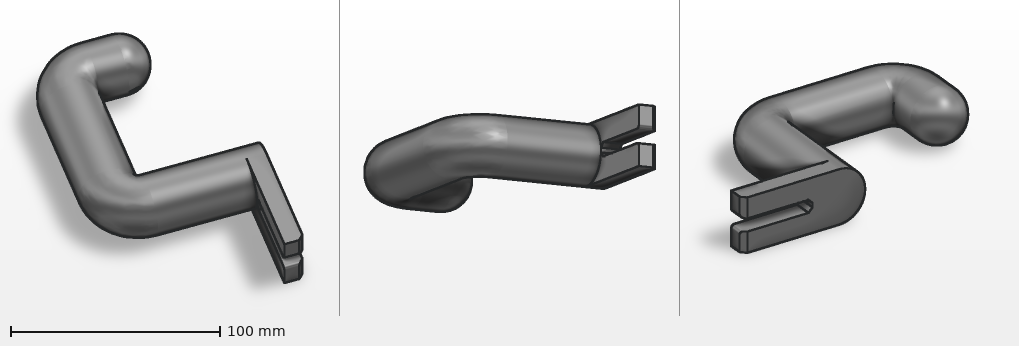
import cadquery as cq

overall_length = 155.0
overall_depth = 90.0
bar_diameter = 30.0
bar_radius = bar_diameter / 2
post_x = 100.1
plate_thickness = 10.0
slot_width = 7.0
slot_root_chamfer = 2.3
slot_mouth_fillet = 1.9
tip_chamfer = 2.6

hook_x = bar_radius
bend_y = bar_diameter
left_pivot_x = hook_x + bar_radius
right_pivot_x = post_x - bar_radius
ball_y = bend_y + bar_radius
plate_front_y = overall_depth - plate_thickness
slot_root_x = post_x + bar_radius


def bar_along_y(x, y_start, y_end):
    """Round bar parallel to Y."""
    start = cq.Vector(x, y_start, 0)
    return cq.Workplane(cq.Solid.makeCylinder(bar_radius, y_end - y_start, start, cq.Vector(0, 1, 0)))


def left_bend():
    """Quarter bend from the cross bar toward +Y."""
    return (
        cq.Workplane("XZ", origin=(hook_x, bend_y, 0))
        .circle(bar_radius)
        .revolve(90, (bar_radius, 0), (bar_radius, 1))
    )


def right_bend():
    """Mirror image of the left bend about the middle of the cross bar."""
    middle_x = (left_pivot_x + right_pivot_x) / 2
    return left_bend().mirror("YZ", (middle_x, 0, 0))


def cross_bar():
    start = cq.Vector(left_pivot_x, bend_y - bar_radius, 0)
    length = right_pivot_x - left_pivot_x
    return cq.Workplane(cq.Solid.makeCylinder(bar_radius, length, start, cq.Vector(1, 0, 0)))


def fork_plate():
    """Plate with one round end and an open slot splitting its free end into two fingers."""
    half_slot = slot_width / 2
    profile = (
        cq.Workplane("XZ", origin=(0, overall_depth, 0))
        .moveTo(post_x, bar_radius)
        .lineTo(overall_length, bar_radius)
        .lineTo(overall_length, half_slot)
        .lineTo(slot_root_x + slot_root_chamfer, half_slot)
        .lineTo(slot_root_x, half_slot - slot_root_chamfer)
        .lineTo(slot_root_x, slot_root_chamfer - half_slot)
        .lineTo(slot_root_x + slot_root_chamfer, -half_slot)
        .lineTo(overall_length, -half_slot)
        .lineTo(overall_length, -bar_radius)
        .lineTo(post_x, -bar_radius)
        .threePointArc((post_x - bar_radius, 0), (post_x, bar_radius))
        .close()
    )
    plate = profile.extrude(plate_thickness)

    mouth = cq.selectors.BoxSelector(
        (overall_length - slot_mouth_fillet, plate_front_y, -slot_width),
        (overall_length + slot_mouth_fillet, overall_depth, slot_width),
    )
    plate = plate.edges("|Y").edges(mouth).fillet(slot_mouth_fillet)
    bevel = (
        cq.Workplane("XY")
        .moveTo(overall_length, overall_depth)
        .lineTo(overall_length - tip_chamfer, overall_depth)
        .lineTo(overall_length, overall_depth - tip_chamfer)
        .close()
        .extrude(bar_radius, both=True)
    )
    return plate.cut(bevel)


ball_end = cq.Workplane("XY", origin=(hook_x, ball_y, 0)).sphere(bar_radius)

result = (
    cross_bar()
    .union(left_bend())
    .union(right_bend())
    .union(bar_along_y(hook_x, bend_y, ball_y))
    .union(ball_end)
    .union(bar_along_y(post_x, bend_y, plate_front_y))
    .union(fork_plate())
)